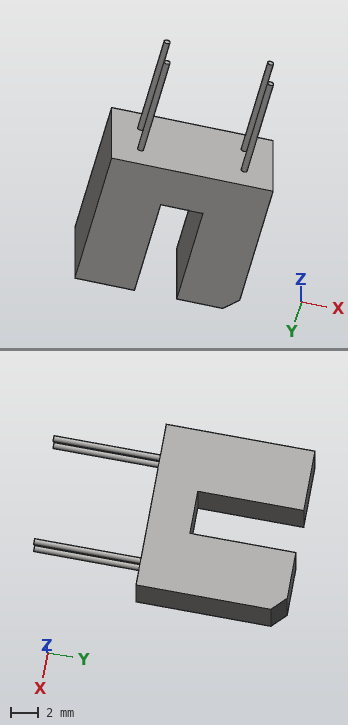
import cadquery as cq

total_length = 18.6
body_width = 11.9
body_height = 6.3
body_length = 10.8
lead_length = total_length - body_length

slot_width = 3.1
slot_depth = 7.7
corner_chamfer = 1.0

lead_diameter = 0.45
lead_spacing_x = 7.63
lead_spacing_z = 2.55


def make_housing():
    """Block centred in X and Z, with its lead face at Y = 0 and its open end at +Y."""
    block = cq.Workplane("XY").box(body_width, body_length, body_height, centered=(True, False, True))
    block = block.edges("|Z and >X and >Y").chamfer(corner_chamfer)
    slot = (
        cq.Workplane("XY")
        .box(slot_width, slot_depth, body_height, centered=(True, False, True))
        .translate((0, body_length - slot_depth, 0))
    )
    return block.cut(slot)


def add_leads(housing):
    """Four straight leads in a rectangular pattern on the -Y face."""
    return (
        housing.faces("<Y")
        .workplane(origin=(0, 0, 0))
        .rarray(lead_spacing_x, lead_spacing_z, 2, 2)
        .circle(lead_diameter / 2)
        .extrude(lead_length)
    )


result = add_leads(make_housing())